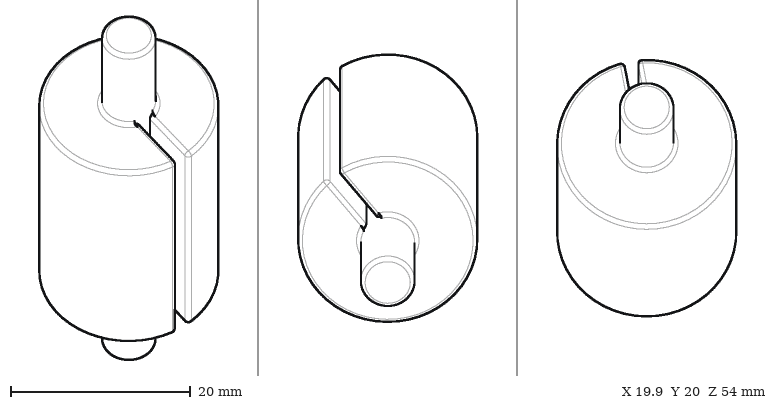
import cadquery as cq

total_length = 54.0
body_length = 30.0
body_diameter = 20.0
pin_diameter = 6.0
slot_width = 1.5
edge_radius = 0.5

body_radius = body_diameter / 2
pin_radius = pin_diameter / 2
body_top = body_length / 2


def radial_slot(width, length):
    """Block from the axis out past the +X side, centred on the XY plane."""
    return cq.Workplane("XY").box(body_diameter, width, length, centered=(False, True, True))


def rounded_slotted_body():
    """Cylinder slotted to its centre, with rounded rims and slot lips."""
    body = cq.Workplane("XY").circle(body_radius).extrude(body_top, both=True)
    body = body.cut(radial_slot(slot_width, body_length))
    mouth_edges = cq.selectors.BoxSelector(
        (body_radius - edge_radius, -slot_width, -edge_radius),
        (body_radius + edge_radius, slot_width, edge_radius),
    )
    body = body.edges("|Z").edges(mouth_edges).fillet(edge_radius)
    end_outlines = body.faces("<Z or >Z").edges("not(|Y)")
    return end_outlines.fillet(edge_radius)


def pin():
    """Full-length pin with rounded ends, which also closes the slot bottom."""
    rod = cq.Workplane("XY").circle(pin_radius).extrude(total_length / 2, both=True)
    return rod.faces("<Z or >Z").edges().fillet(edge_radius)


def root_fillet():
    """Concave ring between the pin and the top of the body, open at the slot."""
    arc_center = (pin_radius + edge_radius, body_top + edge_radius)
    diagonal = edge_radius / 2**0.5
    ring = (
        cq.Workplane("XZ")
        .moveTo(0, body_top)
        .lineTo(pin_radius + edge_radius, body_top)
        .threePointArc(
            (arc_center[0] - diagonal, arc_center[1] - diagonal),
            (pin_radius, body_top + edge_radius),
        )
        .lineTo(0, body_top + edge_radius)
        .close()
        .revolve(360, (0, 0, 0), (0, 1, 0))
    )
    return ring.cut(radial_slot(slot_width + 2 * edge_radius, total_length))


top_root = root_fillet()
bottom_root = top_root.mirror("XY")
result = rounded_slotted_body().union(pin()).union(top_root).union(bottom_root)